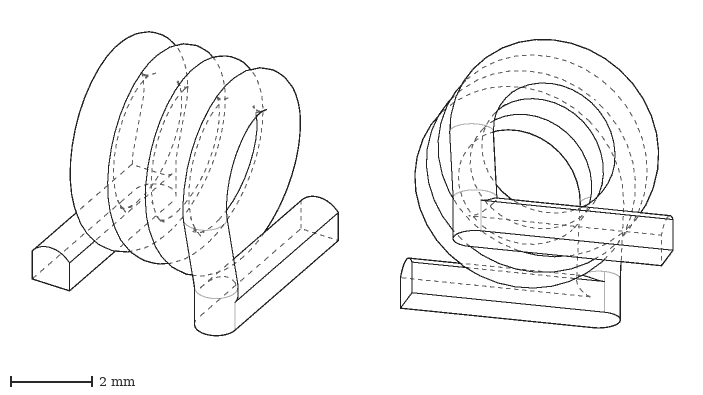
import cadquery as cq

wire_diameter = 1.08
coil_outer_diameter = 5.46
coil_pitch = 1.085
coil_turns = 3.5
overall_length = 5.53
overall_height = 5.69
foot_height = 1.08
foot_side_height = 0.815

wire_radius = wire_diameter / 2
coil_mean_radius = coil_outer_diameter / 2 - wire_radius
coil_length = coil_pitch * coil_turns
coil_start_x = -coil_length / 2
coil_axis_z = overall_height - coil_outer_diameter / 2
foot_x = -overall_length / 2 + wire_radius


def make_coil():
    """Wire wound about X, from the +Y side at -X to the -Y side at +X."""
    path = (
        cq.Workplane(cq.Wire.makeHelix(coil_pitch, coil_length, coil_mean_radius))
        .rotate((0, 0, 0), (0, 1, 0), 90)
        .rotate((0, 0, 0), (1, 0, 0), 90)
        .translate((coil_start_x, 0, coil_axis_z))
    )
    return (
        cq.Workplane("XY", origin=(coil_start_x, coil_mean_radius, coil_axis_z))
        .circle(wire_radius)
        .sweep(path, isFrenet=True)
    )


def make_leg():
    """Slanted round leg from the start of the coil down to its foot."""
    return (
        cq.Workplane("XY", origin=(0, coil_mean_radius, foot_height))
        .center(foot_x, 0)
        .circle(wire_radius)
        .workplane(offset=coil_axis_z - foot_height)
        .center(coil_start_x - foot_x, 0)
        .circle(wire_radius)
        .loft(ruled=True)
    )


def make_foot():
    """Flat-bottomed bar with an arched top and a round post at its +Y end."""
    post = (
        cq.Workplane("XY", origin=(foot_x, coil_mean_radius, 0))
        .circle(wire_radius)
        .extrude(foot_height)
    )
    bar = (
        cq.Workplane("XZ", origin=(foot_x, coil_mean_radius, 0))
        .moveTo(-wire_radius, 0)
        .lineTo(wire_radius, 0)
        .lineTo(wire_radius, foot_side_height)
        .threePointArc((0, foot_height), (-wire_radius, foot_side_height))
        .close()
        .extrude(coil_mean_radius + coil_outer_diameter / 2)
    )
    return post.union(bar)


terminal = make_foot().union(make_leg())
opposite_terminal = terminal.rotate((0, 0, 0), (0, 0, 1), 180)

result = make_coil().union(terminal).union(opposite_terminal)